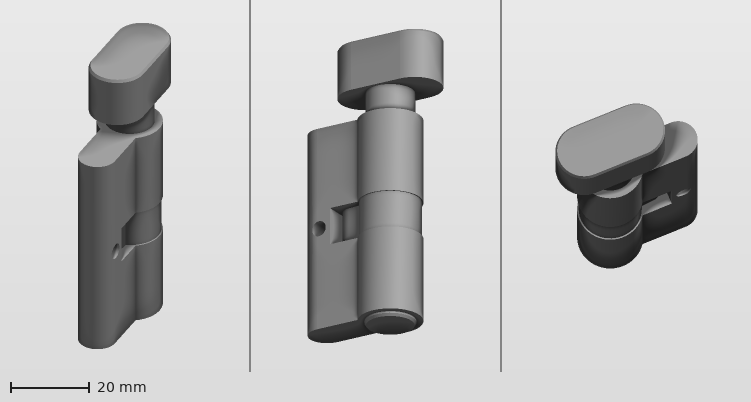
import cadquery as cq


barrel_radius = 8.4
rib_width = 9.85
rib_reach = 23.65
body_height = 55.0

plug_radius = 6.6
plug_height = 1.15

slot_height = 9.9
slot_reach = 14.85
cam_radius = 8.0
cam_reach = 14.0
cam_shoulder = 10.9
cam_root_half_width = 2.55
cam_shoulder_half_width = 2.3
cam_tip_half_width = 0.2
cam_root = (cam_radius**2 - cam_root_half_width**2) ** 0.5

screw_hole_diameter = 4.1
screw_hole_reach = 18.2

stem_radius = 6.3
stem_height = 7.5
knob_length = 28.95
knob_width = 14.55
knob_height = 13.4

bevel_height = 0.7
bevel_inset = 0.5

body_top = plug_height + body_height
body_middle = plug_height + body_height / 2
slot_bottom = body_middle - slot_height / 2
knob_bottom = body_top + stem_height


def cylinder(radius, bottom, height):
    return cq.Workplane("XY").workplane(offset=bottom).circle(radius).extrude(height)


def make_body():
    rib_radius = rib_width / 2
    rib_center = rib_reach - rib_radius
    rib = (
        cq.Workplane("XY", origin=(0, 0, plug_height))
        .moveTo(-rib_radius, 0)
        .lineTo(-rib_radius, -rib_center)
        .threePointArc((0, -rib_reach), (rib_radius, -rib_center))
        .lineTo(rib_radius, 0)
        .close()
        .extrude(body_height)
    )
    slot = cq.Workplane("XY", origin=(0, -slot_reach, slot_bottom)).box(
        2 * barrel_radius, slot_reach + barrel_radius, slot_height, centered=(True, False, False)
    )
    screw_hole = (
        cq.Workplane("YZ", origin=(0, -screw_hole_reach, body_middle))
        .circle(screw_hole_diameter / 2)
        .extrude(rib_width, both=True)
    )
    return cylinder(barrel_radius, plug_height, body_height).union(rib).cut(slot).cut(screw_hole)


def make_cam():
    half_nose = (
        cq.Workplane("XY", origin=(0, 0, slot_bottom))
        .lineTo(cam_root_half_width, 0)
        .lineTo(cam_root_half_width, -cam_root)
        .lineTo(cam_shoulder_half_width, -cam_shoulder)
        .tangentArcPoint((cam_tip_half_width, -cam_reach), relative=False)
        .lineTo(0, -cam_reach)
        .close()
        .extrude(slot_height)
    )
    nose = half_nose.union(half_nose.mirror("YZ"))
    return cylinder(cam_radius, slot_bottom, slot_height).union(nose)


def make_plug():
    plug = cylinder(plug_radius, 0, plug_height)
    return plug.faces("<Z").chamfer(bevel_height, bevel_inset)


def make_knob():
    knob = (
        cq.Workplane("XY", origin=(0, 0, knob_bottom))
        .slot2D(knob_length, knob_width, angle=90)
        .extrude(knob_height - bevel_height)
    )
    bevel = (
        knob.faces(">Z")
        .workplane()
        .slot2D(knob_length, knob_width, angle=90)
        .workplane(offset=bevel_height)
        .slot2D(knob_length - 2 * bevel_inset, knob_width - 2 * bevel_inset, angle=90)
        .loft(combine=False)
    )
    return knob.union(bevel)


stem = cylinder(stem_radius, body_top, stem_height)
result = make_body().union(make_cam()).union(make_plug()).union(stem).union(make_knob())